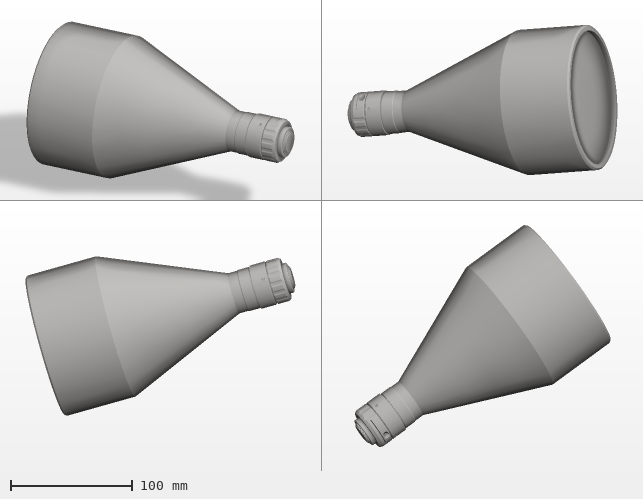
import cadquery as cq
import math

TOTAL_LENGTH = 212.0
BODY_END = 60.2
CONE_END = 161.5
NECK_END = 169.3
RING_END = 179.0
SLEEVE_START = 180.1
SLEEVE_END = 193.3
KNURL_START = 194.0
KNURL_CHAMFER_START = 203.5
KNURL_END = 206.0
BARREL_END = 210.0

BODY_RADIUS = 60.0
NECK_RADIUS = 17.2
RING_RADIUS = 17.5
SLEEVE_RADIUS = 18.5
GROOVE_RADIUS = 16.7
KNURL_END_RADIUS = 17.2
BARREL_RADIUS = 12.7
BARREL_CHAMFER = 0.5
TIP_BASE_RADIUS = 10.2
TIP_RADIUS = 8.3
TIP_STEPS = 3

BODY_CHAMFER = 1.5
LENS_RADIUS = 55.3
SEAT_DEPTH = 4.0
LENS_BULGE = 2.0

EDGE_CHAMFER = 0.5
RELIEF_WIDTH = 0.6

FLUTE_PITCH = 25.0
FLUTE_FIRST_ANGLE = 71.0
FLUTE_COUNT = 10
FLUTE_DEPTH = 0.53
FLUTE_FLOOR_WIDTH = 2.0
FLUTE_MOUTH_WIDTH = 5.3

SET_SCREW_X = 189.5
SET_SCREW_ANGLES = (-60.0, 60.0, 180.0)
SET_SCREW_RADIUS = 1.38
SET_SCREW_DEPTH = 0.8

SLIT_X = 200.7
SLIT_WIDTH = 0.6
SLIT_FLOOR_RADIUS = 13.8
SLIT_START_Y = -2.5
CLAMP_SCREW_X = 197.0
CLAMP_SCREW_Y = 14.5
CLAMP_SEAT_RADIUS = 2.5
CLAMP_SEAT_Z = 8.3


def make_body():
    """Revolve the whole lens profile about X, with the domed lens recessed in its seat."""
    lens_apex = SEAT_DEPTH - LENS_BULGE
    sphere_radius = (LENS_RADIUS**2 + LENS_BULGE**2) / (2 * LENS_BULGE)
    mid_radius = LENS_RADIUS / 2
    mid_x = lens_apex + sphere_radius - math.sqrt(sphere_radius**2 - mid_radius**2)
    profile = (
        cq.Workplane("XY")
        .moveTo(lens_apex, 0)
        .threePointArc((mid_x, mid_radius), (SEAT_DEPTH, LENS_RADIUS))
        .lineTo(0, LENS_RADIUS)
        .lineTo(0, BODY_RADIUS - BODY_CHAMFER)
        .lineTo(BODY_CHAMFER, BODY_RADIUS)
        .lineTo(BODY_END, BODY_RADIUS)
        .lineTo(CONE_END, NECK_RADIUS)
        .lineTo(NECK_END, NECK_RADIUS)
        .lineTo(NECK_END + RELIEF_WIDTH, RING_RADIUS)
        .lineTo(RING_END, RING_RADIUS)
        .lineTo(RING_END, GROOVE_RADIUS)
        .lineTo(SLEEVE_START, GROOVE_RADIUS)
        .lineTo(SLEEVE_START, SLEEVE_RADIUS)
        .lineTo(SLEEVE_END - EDGE_CHAMFER, SLEEVE_RADIUS)
        .lineTo(SLEEVE_END, SLEEVE_RADIUS - EDGE_CHAMFER)
        .lineTo(SLEEVE_END, GROOVE_RADIUS)
        .lineTo(KNURL_START, GROOVE_RADIUS)
        .lineTo(KNURL_START, SLEEVE_RADIUS - EDGE_CHAMFER)
        .lineTo(KNURL_START + EDGE_CHAMFER, SLEEVE_RADIUS)
        .lineTo(KNURL_CHAMFER_START, SLEEVE_RADIUS)
        .lineTo(KNURL_END, KNURL_END_RADIUS)
        .lineTo(KNURL_END, BARREL_RADIUS)
        .lineTo(BARREL_END - BARREL_CHAMFER, BARREL_RADIUS)
        .lineTo(BARREL_END, BARREL_RADIUS - BARREL_CHAMFER)
    )
    step_length = (TOTAL_LENGTH - BARREL_END) / TIP_STEPS
    step_height = (TIP_BASE_RADIUS - TIP_RADIUS) / (TIP_STEPS - 1)
    for step in range(TIP_STEPS):
        step_start = BARREL_END + step * step_length
        step_radius = TIP_BASE_RADIUS - step * step_height
        profile = profile.lineTo(step_start, step_radius).lineTo(step_start + step_length, step_radius)
    profile = profile.lineTo(TOTAL_LENGTH, 0).close()
    return profile.revolve(360, (0, 0, 0), (1, 0, 0))


def turned(shape, angle):
    """Turn a shape built on the -Y side about X, towards +Z for positive angles."""
    return shape.rotate((0, 0, 0), (1, 0, 0), -angle)


def make_flute():
    """Trapezoidal flute on the -Y side, running along X through the grip."""
    floor_y = FLUTE_DEPTH - SLEEVE_RADIUS
    top_y = -FLUTE_DEPTH - SLEEVE_RADIUS
    half_floor = FLUTE_FLOOR_WIDTH / 2
    half_top = FLUTE_MOUTH_WIDTH - half_floor
    return (
        cq.Workplane("YZ", origin=(KNURL_START, 0, 0))
        .polyline([(floor_y, -half_floor), (top_y, -half_top), (top_y, half_top), (floor_y, half_floor)])
        .close()
        .extrude(KNURL_END - KNURL_START)
    )


def make_set_screw_hole():
    """Shallow round recess on the -Y side of the sleeve."""
    surface = cq.Workplane("XZ", origin=(SET_SCREW_X, -SLEEVE_RADIUS, 0))
    return surface.circle(SET_SCREW_RADIUS).extrude(-SET_SCREW_DEPTH)


def make_clamp_slit():
    """Thin slit across the upper +Y part of the grip."""
    ring = (
        cq.Workplane("YZ", origin=(SLIT_X - SLIT_WIDTH / 2, 0, 0))
        .circle(BODY_RADIUS)
        .circle(SLIT_FLOOR_RADIUS)
        .extrude(SLIT_WIDTH)
    )
    upper_side = (
        cq.Workplane("XY", origin=(SLIT_X, SLIT_START_Y, 0))
        .box(2 * SLIT_WIDTH, BODY_RADIUS, BODY_RADIUS, centered=(True, False, False))
    )
    return ring.intersect(upper_side)


def make_clamp_screw_seat():
    """Vertical flat-bottomed seat for the screw head on the +Y side of the grip."""
    axis = cq.Workplane("XY", origin=(CLAMP_SCREW_X, CLAMP_SCREW_Y, CLAMP_SEAT_Z))
    return axis.circle(CLAMP_SEAT_RADIUS).extrude(SLEEVE_RADIUS)


result = make_body()

flute = make_flute()
for index in range(FLUTE_COUNT):
    result = result.cut(turned(flute, FLUTE_FIRST_ANGLE - index * FLUTE_PITCH))

set_screw_hole = make_set_screw_hole()
for screw_angle in SET_SCREW_ANGLES:
    result = result.cut(turned(set_screw_hole, screw_angle))

result = result.cut(make_clamp_slit())
result = result.cut(make_clamp_screw_seat())